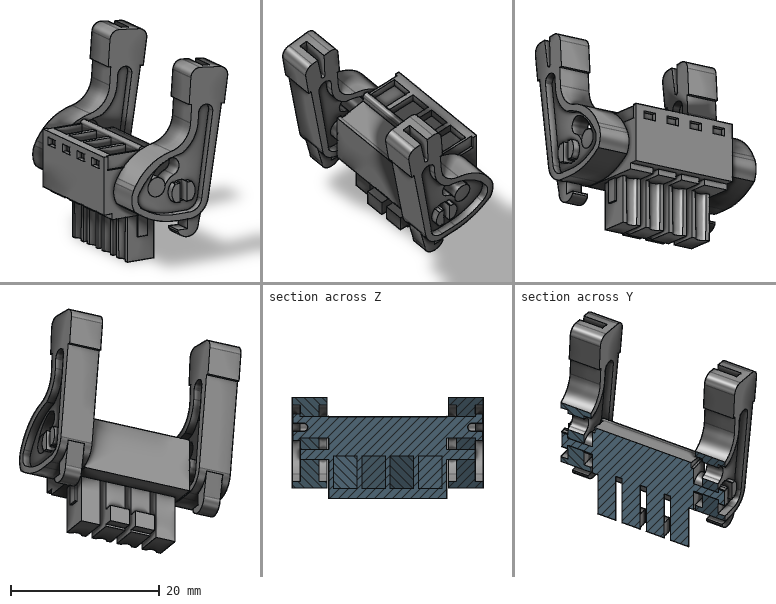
import cadquery as cq
import math


positions = 4
pitch = 3.81
pole_x = [(i - (positions - 1) / 2) * pitch for i in range(positions)]

total_width = 25.83
lever_width = 4.74
lever_x = total_width / 2 - lever_width / 2

housing_width = 15.94
housing_depth = 11.07
housing_top = 8.98
front_step_depth = 1.30
front_step_height = 0.84
back_ledge_y = 10.63
back_ledge_z = 7.56
slope_top_z = 8.20
side_relief_depth = 0.37
side_relief_bottom = 7.04
side_relief_front = 0.63
side_relief_back = 10.44
ridge_radius = 0.50
ridge_front = 5.74
ridge_y = ridge_front + ridge_radius

pocket_width = 3.10
pocket_front = 1.39
pocket_depth = 1.15
window_width = 1.86
window_bottom = 7.07
window_top = 8.14
window_depth = 0.72

contact_height = 5.0

tower_width = 2.87
tower_front = 4.20
tower_back = 8.37
tower_bottom = -6.64
channel_top_radius = 1.00
channel_bottom_radius = 0.91
channel_axis_offset = 0.42
latch_back = 9.64
latch_bottom = -6.33
latch_top = -4.04
key_front = 5.69
key_back = 7.19
key_bottom = -3.22
key_thickness = 0.30

web_recess = 1.10
web_outer_x = total_width / 2 - web_recess
pivot_y = 9.63
pivot_z = 3.85
pivot_radius = 1.51
pivot_lip_radius = 1.83
pivot_lip_half_height = 1.31
pivot_lip_thickness = 1.00
pivot_slot_width = 1.06
pivot_slot_depth = 2.00
peg_radius = 1.35
swing_radius = 3.80
peg_angle = 15.1
swing_end_angle = 68.6
swing_slot_radius = 1.27

hook_width = 2.47
head_corner_radius = 1.33
grip_slot_length = 3.59


def swing_point(angle, radius=swing_radius):
    """Point at a radius from the pivot, the angle rising from the -Y direction."""
    turn = math.radians(angle)
    return (pivot_y - radius * math.cos(turn), pivot_z + radius * math.sin(turn))


def box(x_min, x_max, y_min, y_max, z_min, z_max):
    size = (x_max - x_min, y_max - y_min, z_max - z_min)
    return cq.Workplane().box(*size, centered=False).translate((x_min, y_min, z_min))


def centred_box(x, width, y_min, y_max, z_min, z_max):
    return box(x - width / 2, x + width / 2, y_min, y_max, z_min, z_max)


def side_plane(x):
    return cq.Workplane("YZ", origin=(x, 0, 0))


def disc(x_start, length, centre, radius):
    return side_plane(x_start).center(*centre).circle(radius).extrude(length)


def lever_plate():
    """Side profile of the lever: rounded base, slim arm and a wider grip head."""
    plate = (
        side_plane(-lever_width / 2)
        .moveTo(16.73, 20.52)
        .lineTo(10.83, 21.19)
        .lineTo(10.45, 16.05)
        .lineTo(10.86, 16.00)
        .lineTo(10.68, 13.41)
        .tangentArcPoint((7.60, 9.91), relative=False)
        .tangentArcPoint((1.97, 5.81), relative=False)
        .lineTo(1.65, 5.17)
        .threePointArc((1.42, 3.60), (1.87, 2.25))
        .threePointArc((5.10, 0.55), (8.60, 0))
        .lineTo(10.50, 0)
        .tangentArcPoint((13.47, 2.52), relative=False)
        .lineTo(15.56, 15.48)
        .lineTo(16.00, 15.43)
        .close()
        .extrude(lever_width)
    )
    return plate.faces(">Z").edges("|X").fillet(head_corner_radius)


def lever_hook():
    return (
        side_plane(-hook_width / 2)
        .moveTo(13.43, 2.27)
        .lineTo(12.63, -1.12)
        .threePointArc((10.86, -2.88), (9.40, -2.02))
        .lineTo(9.40, -1.72)
        .lineTo(10.89, -1.76)
        .lineTo(10.89, 0.79)
        .close()
        .extrude(hook_width)
    )


def lever_recess(x_start):
    """Shallow recess that leaves a rim around the web of the lever."""
    return (
        side_plane(x_start)
        .moveTo(14.19, 14.66)
        .lineTo(12.43, 2.55)
        .tangentArcPoint((10.50, 0.93), relative=False)
        .lineTo(8.20, 0.93)
        .tangentArcPoint((3.33, 2.34), relative=False)
        .threePointArc((2.36, 3.87), (2.75, 5.02))
        .threePointArc((5.70, 8.07), (9.35, 9.40))
        .threePointArc((10.98, 10.91), (11.86, 13.38))
        .lineTo(11.95, 14.78)
        .threePointArc((13.06, 15.72), (14.19, 14.66))
        .close()
        .extrude(web_recess)
    )


def grip_slot():
    """Tapered slot in the head, open at the top and on the -X side."""
    return (
        side_plane(-lever_width / 2)
        .moveTo(14.45, 21.20)
        .lineTo(13.66, 16.98)
        .threePointArc((13.38, 16.75), (13.09, 16.98))
        .lineTo(13.24, 21.20)
        .close()
        .extrude(grip_slot_length)
    )


def swing_slot():
    """Arc slot about the pivot; the guide peg rests in a seat at its lower end."""
    inner = swing_radius - swing_slot_radius
    outer = swing_radius + swing_slot_radius
    middle_angle = (peg_angle + swing_end_angle) / 2
    slot = (
        side_plane(-lever_width / 2)
        .moveTo(*swing_point(peg_angle, inner))
        .threePointArc(swing_point(middle_angle, inner), swing_point(swing_end_angle, inner))
        .lineTo(*swing_point(swing_end_angle, outer))
        .threePointArc(swing_point(middle_angle, outer), swing_point(peg_angle, outer))
        .close()
        .extrude(lever_width)
    )
    upper_end = disc(-lever_width / 2, lever_width, swing_point(swing_end_angle), swing_slot_radius)
    peg_seat = disc(-lever_width / 2, lever_width, swing_point(peg_angle), peg_radius)
    return slot.union(upper_end).union(peg_seat)


def make_lever(x):
    lever = lever_plate().union(lever_hook())
    lever = lever.cut(lever_recess(-lever_width / 2))
    lever = lever.cut(lever_recess(lever_width / 2 - web_recess))
    lever = lever.cut(grip_slot())
    lever = lever.cut(swing_slot())
    lever = lever.cut(disc(-lever_width / 2, lever_width, (pivot_y, pivot_z), pivot_radius))
    return lever.translate((x, 0, 0))


def housing_block():
    ridge_back = ridge_y + ridge_radius
    block = (
        side_plane(-housing_width / 2)
        .moveTo(front_step_depth, 0)
        .lineTo(housing_depth, 0)
        .lineTo(housing_depth, back_ledge_z)
        .lineTo(back_ledge_y, back_ledge_z)
        .lineTo(ridge_back, slope_top_z)
        .lineTo(ridge_back, housing_top)
        .lineTo(0, housing_top)
        .lineTo(0, front_step_height)
        .lineTo(front_step_depth, front_step_height)
        .close()
        .extrude(housing_width)
    )
    block = block.union(disc(-housing_width / 2, housing_width, (ridge_y, housing_top), ridge_radius))
    for side in (-1, 1):
        relief_x = side * (housing_width - side_relief_depth) / 2
        block = block.cut(
            centred_box(
                relief_x, side_relief_depth,
                side_relief_front, side_relief_back,
                side_relief_bottom, housing_top + ridge_radius,
            )
        )
    return block


def contact_pocket(x):
    return centred_box(
        x, pocket_width, pocket_front, ridge_front,
        housing_top - pocket_depth - contact_height, housing_top,
    )


def window(x):
    return centred_box(x, window_width, 0, window_depth, window_bottom, window_top)


def tower(x):
    """Tower with a tapered round channel along its front."""
    height = -tower_bottom
    body = centred_box(x, tower_width, tower_front, tower_back, tower_bottom, 0)
    channel = cq.Solid.makeCone(
        channel_bottom_radius, channel_top_radius, height,
        pnt=cq.Vector(x, tower_front - channel_axis_offset, tower_bottom),
    )
    return body.cut(cq.Workplane(channel))


def latch(x):
    """Latch block on the back of a tower."""
    return centred_box(x, tower_width, tower_back, latch_back, latch_bottom, latch_top)


def gap_groove(x):
    """Continues the gap between two towers into the underside of the housing."""
    return centred_box(x, pitch - tower_width, 0, tower_back, 0, front_step_height)


def side_key(side):
    tower_side = pole_x[-1] + tower_width / 2
    return centred_box(
        side * (tower_side + key_thickness / 2), key_thickness,
        key_front, key_back, key_bottom, 0,
    )


def pivot():
    """Split snap pivot on the -X side of the housing: a round neck with a flat-topped lip at its tip."""
    centre = (pivot_y, pivot_z)
    end_x = -web_outer_x - pivot_lip_thickness
    neck = disc(end_x, -housing_width / 2 - end_x, centre, pivot_radius)
    lip = disc(end_x, pivot_lip_thickness, centre, pivot_lip_radius)
    lip = lip.intersect(
        box(
            end_x, -web_outer_x,
            pivot_y - pivot_lip_radius, pivot_y + pivot_lip_radius,
            pivot_z - pivot_lip_half_height, pivot_z + pivot_lip_half_height,
        )
    )
    slot_radius = pivot_slot_width / 2
    slot_bottom_x = end_x + pivot_slot_depth
    slot = (
        cq.Workplane("XY", origin=(0, 0, pivot_z - pivot_lip_radius))
        .moveTo(end_x, pivot_y - slot_radius)
        .lineTo(slot_bottom_x - slot_radius, pivot_y - slot_radius)
        .threePointArc((slot_bottom_x, pivot_y), (slot_bottom_x - slot_radius, pivot_y + slot_radius))
        .lineTo(end_x, pivot_y + slot_radius)
        .close()
        .extrude(2 * pivot_lip_radius)
    )
    return neck.union(lip).cut(slot)


def guide_peg():
    """Peg on the -X side of the housing, flush with the web of the lever."""
    return disc(-web_outer_x, web_outer_x - housing_width / 2, swing_point(peg_angle), peg_radius)


def make_housing():
    housing = housing_block()
    for x in pole_x:
        housing = housing.cut(contact_pocket(x)).cut(window(x)).union(tower(x))
    for x in pole_x[1:-1]:
        housing = housing.union(latch(x))
    for x in pole_x[:-1]:
        housing = housing.cut(gap_groove(x + pitch / 2))
    for side in (-1, 1):
        housing = housing.union(side_key(side))
    mounts = pivot().union(guide_peg())
    return housing.union(mounts).union(mounts.mirror("YZ"))


def make_contact(x):
    """Contact block that fills the lower part of a pocket."""
    floor_z = housing_top - pocket_depth
    return centred_box(x, pocket_width, pocket_front, ridge_front, floor_z - contact_height, floor_z)


housing = make_housing()
levers = [make_lever(x) for x in (-lever_x, lever_x)]
contacts = [make_contact(x) for x in pole_x]

bodies = [housing] + levers + contacts
result = cq.Compound.makeCompound([body.val() for body in bodies])